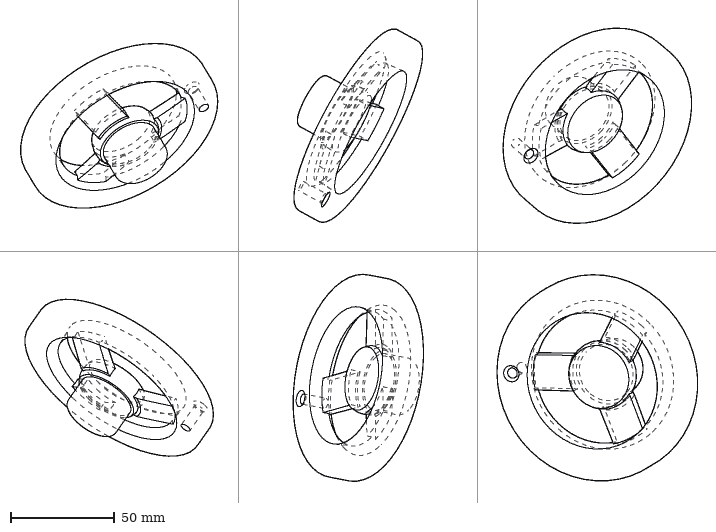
import cadquery as cq

rim_diameter = 100.0
rim_width = 14.0
rim_edge_radius = 1.5
rim_bore_front_radius = 33.8
rim_bore_waist_radius = 33.0
rim_bore_waist_position = 9.8
rim_bore_back_radius = 37.0

hub_front = 9.0
hub_back = 19.0
hub_end_radius = 15.6
hub_belly_radius = 16.9
boss_diameter = 28.0
boss_end = 34.0
boss_edge_radius = 2.0

spoke_count = 3
spoke_root_width = 17.8
spoke_tip_width = 17.3
spoke_tip_radius = 36.0
web_inner_radius = 14.0
web_shoulder_radius = 18.2
web_shoulder_back = 16.7
web_front_at_hub = 12.5
web_front_at_rim = 5.9
web_back_at_rim = 10.7

hole_diameter = 5.0
countersink_diameter = 8.0
hole_offset = 42.0


def revolve_about_x(points):
    """Turn a closed outline of (x, radius) points around the X axis."""
    return cq.Workplane("XY").polyline(points).close().revolve(360, (0, 0, 0), (1, 0, 0))


def make_rim():
    rim = cq.Workplane("YZ").circle(rim_diameter / 2).extrude(rim_width)
    rim = rim.edges().fillet(rim_edge_radius)
    bore = revolve_about_x([
        (0, 0),
        (0, rim_bore_front_radius),
        (rim_bore_waist_position, rim_bore_waist_radius),
        (rim_width, rim_bore_back_radius),
        (rim_width, 0),
    ])
    return rim.cut(bore)


def make_hub():
    body = (
        cq.Workplane("XY")
        .moveTo(hub_front, 0)
        .lineTo(hub_front, hub_end_radius)
        .threePointArc(((hub_front + hub_back) / 2, hub_belly_radius), (hub_back, hub_end_radius))
        .lineTo(hub_back, 0)
        .close()
        .revolve(360, (0, 0, 0), (1, 0, 0))
    )
    boss = cq.Workplane("YZ").workplane(offset=hub_back).circle(boss_diameter / 2).extrude(boss_end - hub_back)
    boss = boss.faces(">X").edges().fillet(boss_edge_radius)
    return body.union(boss)


def make_spokes():
    web = revolve_about_x([
        (web_front_at_hub, web_inner_radius),
        (web_front_at_rim, spoke_tip_radius),
        (web_back_at_rim, spoke_tip_radius),
        (web_shoulder_back, web_shoulder_radius),
        (web_shoulder_back, web_inner_radius),
    ])
    bar = (
        cq.Workplane("YZ")
        .polyline([
            (web_inner_radius, -spoke_root_width / 2),
            (rim_diameter / 2, -spoke_tip_width / 2),
            (rim_diameter / 2, spoke_tip_width / 2),
            (web_inner_radius, spoke_root_width / 2),
        ])
        .close()
        .extrude(hub_back)
    )
    spoke = web.intersect(bar)
    spokes = spoke
    for index in range(1, spoke_count):
        spokes = spokes.union(spoke.rotate((0, 0, 0), (1, 0, 0), index * 360 / spoke_count))
    return spokes


def make_handle_hole():
    hole = cq.Workplane("YZ").center(hole_offset, 0).circle(hole_diameter / 2).extrude(rim_width)
    depth = (countersink_diameter - hole_diameter) / 2
    sink = revolve_about_x([
        (0, 0),
        (0, countersink_diameter / 2),
        (depth, hole_diameter / 2),
        (depth, 0),
    ]).translate((0, hole_offset, 0))
    return hole.union(sink)


result = make_rim().union(make_spokes()).union(make_hub()).cut(make_handle_hole())